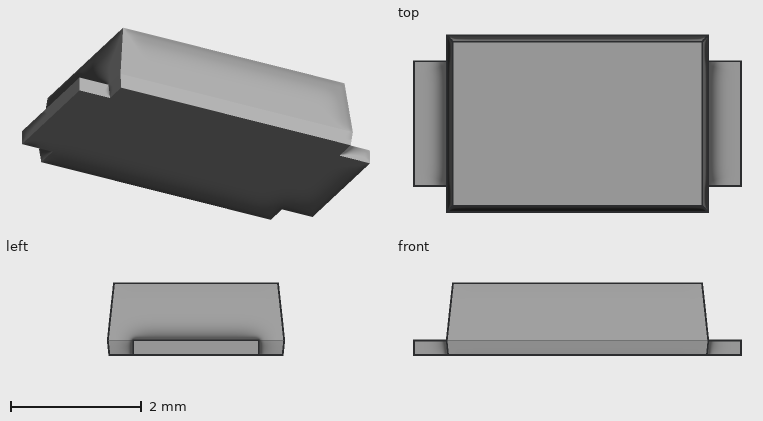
import cadquery as cq
import math

housing_length = 4.0
housing_width = 2.7
housing_height = 1.1
draft_inset = 0.095
lead_length = 5.0
lead_width = 1.91
lead_thickness = 0.225

upper_height = housing_height - lead_thickness
draft_angle = math.degrees(math.atan2(draft_inset, upper_height))


def make_lead():
    """Flat lead strip that runs through the housing and sticks out at both ends."""
    return cq.Workplane("XY").box(
        lead_length, lead_width, lead_thickness, centered=(True, True, False)
    )


def make_housing_half(height):
    """Drafted block rising (or, for a negative height, dropping) from the parting line."""
    return (
        cq.Workplane("XY")
        .workplane(offset=lead_thickness)
        .rect(housing_length, housing_width)
        .extrude(height, taper=draft_angle)
    )


def make_housing(lead):
    """Housing drafted up and down from the parting line, with a slot for the lead."""
    upper_half = make_housing_half(upper_height)
    lower_half = make_housing_half(-lead_thickness)
    return upper_half.union(lower_half).cut(lead)


lead = make_lead()
housing = make_housing(lead)

result = cq.Compound.makeCompound([housing.solids().val(), lead.val()])